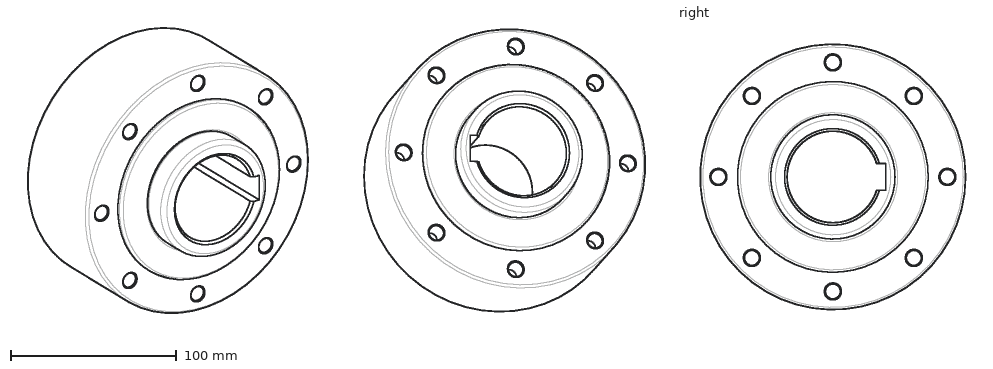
import cadquery as cq
import math

hub_length = 104
body_width = 66.0
cover_width = 72.3

body_radius = 80
cover_radius = 57.5
hub_radius = 37.5
body_round = 1.6
cover_round = 1.6
hub_round = 2.7

cover_bore_round = 1.5

bore_radius = 27.5
bore_chamfer = 1.6
key_width = 16
key_reach = 31.8

hole_count = 8
hole_circle_radius = 69.0
hole_radius = 4.5
hole_chamfer = 0.6
hole_depth = 20.0
drill_point_angle = 118


def disc(radius, width, edge_round):
    """Disc centred on the X axis with both rims rounded."""
    blank = cq.Workplane("YZ", origin=(-width / 2, 0, 0)).circle(radius).extrude(width)
    return blank.faces("<X or >X").edges().fillet(edge_round)


def cover_bore_relief():
    """Ring cut around the hub that rounds over the bore rim of the cover on the -X side."""
    face_x = -cover_width / 2
    arc_offset = cover_bore_round * (1 - math.sqrt(0.5))
    profile = (
        cq.Workplane("XY")
        .moveTo(face_x, hub_radius)
        .lineTo(face_x, hub_radius + cover_bore_round)
        .threePointArc(
            (face_x + arc_offset, hub_radius + arc_offset),
            (face_x + cover_bore_round, hub_radius),
        )
        .close()
    )
    return profile.revolve(360, (0, 0, 0), (1, 0, 0))


def bore():
    """Through bore with a chamfer at each end."""
    half_length = hub_length / 2
    mouth_radius = bore_radius + bore_chamfer
    outline = [
        (-half_length, 0),
        (-half_length, mouth_radius),
        (-half_length + bore_chamfer, bore_radius),
        (half_length - bore_chamfer, bore_radius),
        (half_length, mouth_radius),
        (half_length, 0),
    ]
    return cq.Workplane("XY").polyline(outline).close().revolve(360, (0, 0, 0), (1, 0, 0))


def keyway():
    """Rectangular keyway along the bore, on the +Y side."""
    return cq.Workplane("XY").box(hub_length, key_reach, key_width, centered=(True, False, True))


def bolt_holes():
    """Ring of blind drilled holes entering from the -X face of the body."""
    point_depth = hole_radius / math.tan(math.radians(drill_point_angle / 2))
    face_x = -body_width / 2
    outline = [
        (face_x, 0),
        (face_x, hole_radius + hole_chamfer),
        (face_x + hole_chamfer, hole_radius),
        (face_x + hole_depth, hole_radius),
        (face_x + hole_depth + point_depth, 0),
    ]
    drill = (
        cq.Workplane("XY")
        .polyline(outline)
        .close()
        .revolve(360, (0, 0, 0), (1, 0, 0))
        .translate((0, hole_circle_radius, 0))
    )
    holes = cq.Workplane("XY")
    for index in range(hole_count):
        holes = holes.add(drill.rotate((0, 0, 0), (1, 0, 0), index * 360 / hole_count))
    return holes.combine()


result = (
    disc(body_radius, body_width, body_round)
    .union(disc(cover_radius, cover_width, cover_round))
    .union(disc(hub_radius, hub_length, hub_round))
)
for cutter in (cover_bore_relief(), bolt_holes()):
    result = result.cut(cutter).cut(cutter.mirror("YZ"))
result = result.cut(bore()).cut(keyway())